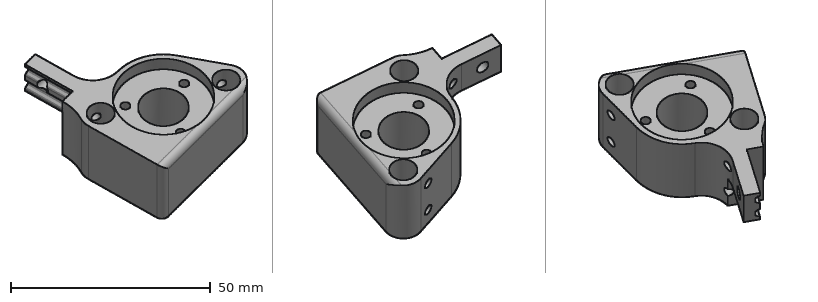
import cadquery as cq
import math

part_turn = -4.1

height = 20.0
main_radius = 14.25
edge_round = 2.0
step_x = -19.25
step_corner_y = -16.5

bore_radius = 6.35
pocket_radius = 12.75
pocket_depth = 4.0
screw_radius = 1.25
screw_circle_radius = 9.55
screw_count = 3

rod_x = 9.15
rod_y = 13.9
rod_radius = 3.55
rod_wall = 1.7
boss_radius = rod_radius + rod_wall
right_face = rod_x + boss_radius
front_face = -rod_y - boss_radius
set_screw_radius = 1.25
set_screw_heights = (height / 4, height * 3 / 4)
set_screw_angle = 147.0
set_screw_length = 25.2

arm_end = -34.2
arm_top = -7.9
fillet_radius = 8.0
arm_thickness = 4.3
arm_height = height / 2
arm_bottom = arm_top - arm_thickness
arm_mid_z = height - arm_height / 2
arm_hole_x = -28.75
arm_hole_radius = 1.7

groove_pitch = arm_height / 2
groove_mouth = 2.9
groove_floor = 1.5
groove_depth = 1.25
groove_round = 0.4


def on_circle(center, radius, angle):
    """Point on a circle, with the angle in radians."""
    return center[0] + radius * math.cos(angle), center[1] + radius * math.sin(angle)


def body_outline():
    """Closed outline of the body with the arm, as seen along Z."""
    upper_rod = (rod_x, rod_y)
    lower_rod = (-rod_x, -rod_y)

    run = step_x + rod_x
    rise = step_corner_y + rod_y
    hollow_radius = (run**2 + rise**2 - boss_radius**2) / (2 * (boss_radius + rise))
    hollow_center = (step_x, step_corner_y - hollow_radius)
    hollow_angle = math.atan2(hollow_center[1] + rod_y, hollow_center[0] + rod_x)
    hollow_end = on_circle(lower_rod, boss_radius, hollow_angle)

    rod_distance = math.hypot(rod_x, rod_y)
    flank_angle = math.atan2(rod_y, rod_x) + math.acos((main_radius - boss_radius) / rod_distance)
    boss_mid_angle = flank_angle / 2

    fillet_y = arm_top + fillet_radius
    fillet_x = -math.sqrt((main_radius + fillet_radius) ** 2 - fillet_y**2)
    fillet_angle = math.atan2(fillet_y, fillet_x) % (2 * math.pi)
    main_mid_angle = (flank_angle + fillet_angle) / 2
    fillet_mid_angle = (fillet_angle - math.pi * 3 / 2) / 2

    return (
        cq.Workplane("XY")
        .moveTo(step_x, step_corner_y)
        .threePointArc(
            on_circle(hollow_center, hollow_radius, (math.pi / 2 + hollow_angle + math.pi) / 2),
            hollow_end,
        )
        .threePointArc(
            on_circle(lower_rod, boss_radius, (hollow_angle - math.pi / 2) / 2),
            (-rod_x, front_face),
        )
        .lineTo(right_face, front_face)
        .lineTo(right_face, rod_y)
        .threePointArc(
            on_circle(upper_rod, boss_radius, boss_mid_angle),
            on_circle(upper_rod, boss_radius, flank_angle),
        )
        .lineTo(*on_circle((0, 0), main_radius, flank_angle))
        .threePointArc(
            on_circle((0, 0), main_radius, main_mid_angle),
            on_circle((0, 0), main_radius, fillet_angle),
        )
        .threePointArc(
            on_circle((fillet_x, fillet_y), fillet_radius, fillet_mid_angle),
            (fillet_x, arm_top),
        )
        .lineTo(arm_end, arm_top)
        .lineTo(arm_end, arm_bottom)
        .lineTo(step_x, arm_bottom)
        .close()
    )


def make_body():
    """Body and arm, with the rounded corner and the rounded top edge on the +X face."""
    body = body_outline().extrude(height)
    corner = cq.selectors.NearestToPointSelector((right_face, front_face, height / 2))
    body = body.edges(corner).fillet(edge_round)

    length = step_x - arm_end
    clearance_width = 2 * arm_thickness
    under_arm = (
        cq.Workplane("XY", origin=(arm_end, arm_top - arm_thickness / 2, 0))
        .box(length, clearance_width, height - arm_height, centered=(False, True, False))
    )
    body = body.cut(under_arm)

    round_center = (right_face - edge_round, height - edge_round)
    waste = (
        cq.Workplane("XZ")
        .moveTo(round_center[0], height)
        .threePointArc(on_circle(round_center, edge_round, math.pi / 4), (right_face, round_center[1]))
        .lineTo(right_face, height)
        .close()
        .extrude(-2 * front_face, both=True)
    )
    return body.cut(waste)


def cut_bores(body):
    """Stepped main bore, its screw holes and the two rod holes."""
    plane = cq.Workplane("XY")
    bores = plane.circle(bore_radius).extrude(height)
    screw_places = plane.polarArray(screw_circle_radius, 90 - part_turn, 360, screw_count)
    screws = screw_places.circle(screw_radius).extrude(height)
    rods = plane.pushPoints([(rod_x, rod_y), (-rod_x, -rod_y)]).circle(rod_radius).extrude(height)
    pocket = plane.workplane(offset=height - pocket_depth).circle(pocket_radius).extrude(pocket_depth)
    return body.cut(bores).cut(screws).cut(rods).cut(pocket)


def cut_set_screws(body):
    """Level holes from the outside into each rod hole."""
    angle = math.radians(set_screw_angle)
    direction = cq.Vector(math.cos(angle), math.sin(angle), 0)
    for side in (1, -1):
        for z in set_screw_heights:
            start = cq.Vector(side * rod_x, side * rod_y, z)
            body = body.cut(cq.Solid.makeCylinder(set_screw_radius, set_screw_length, start, direction))
    return body


def cut_arm_details(body):
    """Two rounded tooth grooves along the arm and a hole across it."""
    length = step_x - arm_end
    groove_top = arm_bottom + groove_depth
    for z in (arm_mid_z - groove_pitch / 2, arm_mid_z + groove_pitch / 2):
        groove = (
            cq.Workplane("YZ", origin=(arm_end, 0, z))
            .moveTo(arm_bottom - groove_depth, -groove_pitch / 2)
            .lineTo(arm_bottom, -groove_pitch / 2)
            .lineTo(arm_bottom, -groove_mouth / 2)
            .lineTo(groove_top, -groove_floor / 2)
            .lineTo(groove_top, groove_floor / 2)
            .lineTo(arm_bottom, groove_mouth / 2)
            .lineTo(arm_bottom, groove_pitch / 2)
            .lineTo(arm_bottom - groove_depth, groove_pitch / 2)
            .close()
            .extrude(length)
        )
        for y, width in ((arm_bottom, groove_mouth), (groove_top, groove_floor)):
            for side in (1, -1):
                point = (arm_end + length / 2, y, z + side * width / 2)
                groove = groove.edges(cq.selectors.NearestToPointSelector(point)).fillet(groove_round)
        body = body.cut(groove)

    hole_start = cq.Vector(arm_hole_x, arm_bottom, arm_mid_z)
    hole = cq.Solid.makeCylinder(arm_hole_radius, arm_thickness, hole_start, cq.Vector(0, 1, 0))
    return body.cut(hole)


body = cut_arm_details(cut_set_screws(cut_bores(make_body())))
result = body.rotate((0, 0, 0), (0, 0, 1), part_turn)